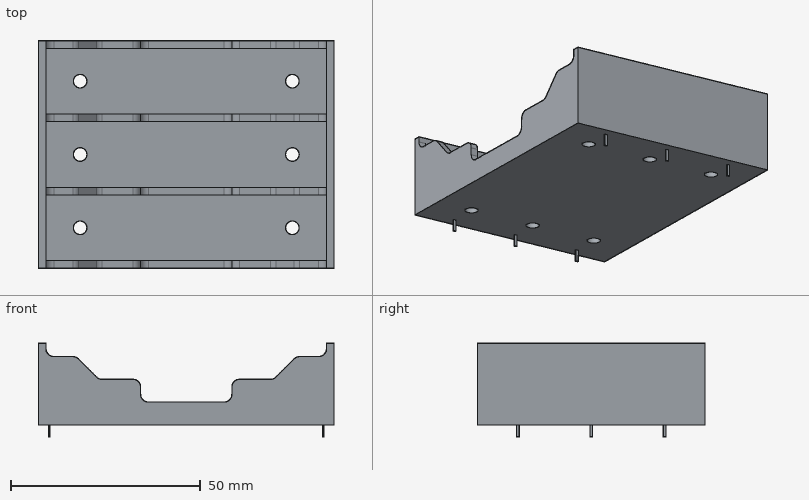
import cadquery as cq

length = 77.8
width = 59.9
overall_height = 24.7
body_height = 21.55
pin_length = overall_height - body_height
wall_thickness = 2.0
floor_thickness = 1.55

bay_count = 3
bay_pitch = (width - wall_thickness) / bay_count
bay_width = bay_pitch - wall_thickness
bay_length = length - 2 * wall_thickness
bay_centers = [(i - (bay_count - 1) / 2) * bay_pitch for i in range(bay_count)]

step_height = 6.0
low_level = 6.1
middle_level = low_level + step_height
high_level = middle_level + step_height
low_half_length = 12.0
slope_foot = 23.0
slope_head = slope_foot + step_height
edge_radius = 2.0

hole_diameter = 3.5
hole_half_spacing = 27.9

pin_thickness = 0.4
pin_width = 0.8
pin_half_spacing = 36.1


def make_body():
    """Solid block with one open-topped pocket for each bay."""
    body = cq.Workplane("XY").box(length, width, body_height, centered=(True, True, False))
    pockets = (
        cq.Workplane("XY", origin=(0, 0, floor_thickness))
        .pushPoints([(0, y) for y in bay_centers])
        .rect(bay_length, bay_width)
        .extrude(body_height)
    )
    return body.cut(pockets)


def make_rib_relief():
    """Rounded stepped prism, removed between the end walls to shape the rib edges."""
    inner_half = bay_length / 2
    right_side = [
        (low_half_length, low_level),
        (low_half_length, middle_level),
        (slope_foot, middle_level),
        (slope_head, high_level),
        (inner_half, high_level),
    ]
    top_z = body_height + edge_radius
    left_side = [(-x, z) for x, z in reversed(right_side)]
    outline = left_side + right_side + [(inner_half, top_z), (-inner_half, top_z)]
    prism = cq.Workplane("XZ").polyline(outline).close().extrude(width / 2, both=True)
    step_edges = prism.edges("|Y").edges(
        cq.selectors.BoxSelector((-length, -width, 0), (length, width, body_height))
    )
    return step_edges.fillet(edge_radius)


def make_floor_holes():
    """Two round through holes in every bay."""
    points = [(side * hole_half_spacing, y) for side in (-1, 1) for y in bay_centers]
    return cq.Workplane("XY").pushPoints(points).circle(hole_diameter / 2).extrude(floor_thickness)


def make_pins():
    """One pin below each end of every bay."""
    points = [(side * pin_half_spacing, y) for side in (-1, 1) for y in bay_centers]
    return cq.Workplane("XY").pushPoints(points).rect(pin_thickness, pin_width).extrude(-pin_length)


result = make_body().cut(make_rib_relief()).cut(make_floor_holes()).union(make_pins())